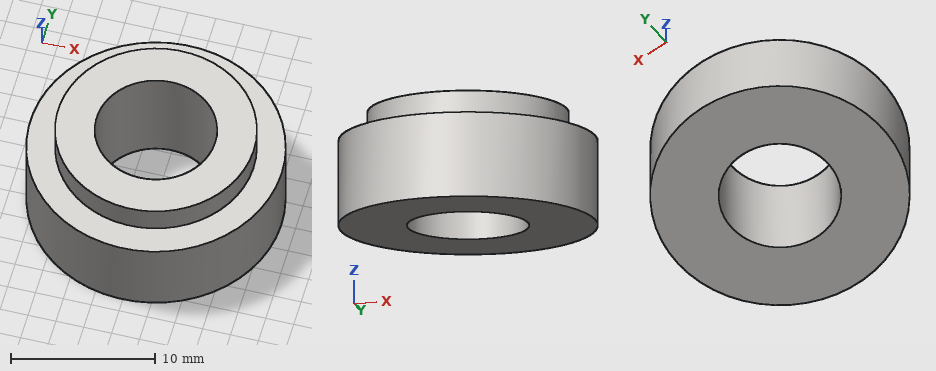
import cadquery as cq

body_diameter = 18.0
boss_diameter = 14.0
bore_diameter = 8.5
total_height = 8.0
boss_height = 2.0
body_height = total_height - boss_height

body = cq.Workplane("XY").circle(body_diameter / 2).extrude(body_height)

stepped_body = body.faces(">Z").workplane().circle(boss_diameter / 2).extrude(boss_height)

result = stepped_body.faces(">Z").workplane().circle(bore_diameter / 2).cutThruAll()